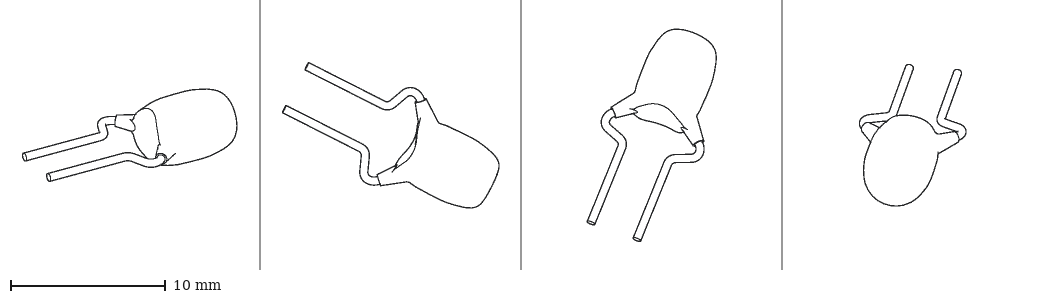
import cadquery as cq
import math


body_top = 14.16
band_top = 11.71
band_bottom = 10.8
band_radius = 2.25
crown_flat_radius = 0.89
shoulder = (1.78, 13.74)
upper_side = (2.14, 12.63)
lower_side = (2.15, 9.4)
lower_rim = (1.9, 8.5)
skirt = (1.74, 8.0)
skirt_direction = (0.3, 1)

arch_crown = 8.52
arch_mid = (0.76, 8.4)
arch_edge = (1.43, 8.17)
arch_foot = (1.98, 8.05)
cut_clearance = 0.14

lead_radius = 0.27
lead_x = 1.59
elbow_x = 3.23
straight_top = 5.55
elbow_y = 6.97
upper_bend_radius = 0.78
kink_slope = math.radians(22)
sleeve_angle = math.radians(45)
lead_embed = 1.7

sleeve_end_radius = 0.38
sleeve_half_taper = math.radians(9)
sleeve_setback = 0.08
sleeve_length = 2.27
sleeve_blend = 0.28


def make_body():
    profile = (
        cq.Workplane("XY")
        .moveTo(0, skirt[1])
        .lineTo(*skirt)
        .spline(
            [lower_rim, lower_side, (band_radius, band_bottom)],
            tangents=[skirt_direction, (0, 1)],
            includeCurrent=True,
        )
        .lineTo(band_radius, band_top)
        .spline(
            [upper_side, shoulder, (crown_flat_radius, body_top)],
            tangents=[(0, 1), (-1, 0)],
            includeCurrent=True,
        )
        .lineTo(0, body_top)
        .close()
    )
    barrel = profile.revolve(360, (0, 0, 0), (0, 1, 0))

    floor_y = skirt[1] - cut_clearance
    half_arch = (
        cq.Workplane("XY", origin=(0, 0, -band_radius))
        .moveTo(0, arch_crown)
        .spline(
            [arch_mid, arch_edge],
            tangents=[(1, 0), (arch_foot[0] - arch_edge[0], arch_foot[1] - arch_edge[1])],
            includeCurrent=True,
        )
        .lineTo(*arch_foot)
        .lineTo(arch_foot[0], floor_y)
        .lineTo(0, floor_y)
        .close()
        .extrude(2 * band_radius)
    )
    return barrel.cut(half_arch).cut(half_arch.mirror("YZ"))


sleeve_dir = (-math.cos(sleeve_angle), math.sin(sleeve_angle))
bend_start = (
    elbow_x - upper_bend_radius * (1 - math.cos(sleeve_angle)),
    elbow_y + upper_bend_radius * math.sin(sleeve_angle),
)


def along_sleeve(distance):
    return tuple(p + distance * d for p, d in zip(bend_start, sleeve_dir))


def make_sleeve():
    base_radius = sleeve_end_radius + sleeve_length * math.tan(sleeve_half_taper)
    cone = cq.Solid.makeCone(
        sleeve_end_radius,
        base_radius,
        sleeve_length,
        cq.Vector(*along_sleeve(sleeve_setback)),
        cq.Vector(*sleeve_dir),
    )
    return cq.Workplane(cone)


def make_lead():
    drop = elbow_y - straight_top
    shift = elbow_x - lead_x
    bend_angle = math.pi / 2 - kink_slope
    bend_dx = 1 - math.cos(bend_angle)
    bend_dy = math.sin(bend_angle)
    slope = math.tan(kink_slope)
    kink_radius = (drop - shift * slope) / (2 * (bend_dy - bend_dx * slope))
    dx = kink_radius * bend_dx
    dy = kink_radius * bend_dy

    path = (
        cq.Workplane("XY")
        .moveTo(lead_x, 0)
        .lineTo(lead_x, straight_top)
        .tangentArcPoint((lead_x + dx, straight_top + dy), relative=False)
        .lineTo(elbow_x - dx, elbow_y - dy)
        .tangentArcPoint((elbow_x, elbow_y), relative=False)
        .tangentArcPoint(bend_start, relative=False)
        .lineTo(*along_sleeve(lead_embed))
    )
    section = cq.Workplane("XZ", origin=(lead_x, 0, 0)).circle(lead_radius)
    return section.sweep(path)


def with_mirror(shape):
    return shape.union(shape.mirror("YZ"))


def blend_sleeve_roots(body):
    root_zone = cq.selectors.BoxSelector(
        (arch_edge[0], arch_edge[1], -band_radius),
        (band_radius, band_bottom, band_radius),
    )
    mirrored_zone = cq.selectors.BoxSelector(
        (-arch_edge[0], arch_edge[1], -band_radius),
        (-band_radius, band_bottom, band_radius),
    )
    return body.edges(root_zone + mirrored_zone).fillet(sleeve_blend)


coated_body = make_body().union(with_mirror(make_sleeve()))
coated_body = blend_sleeve_roots(coated_body)
result = coated_body.union(with_mirror(make_lead()))